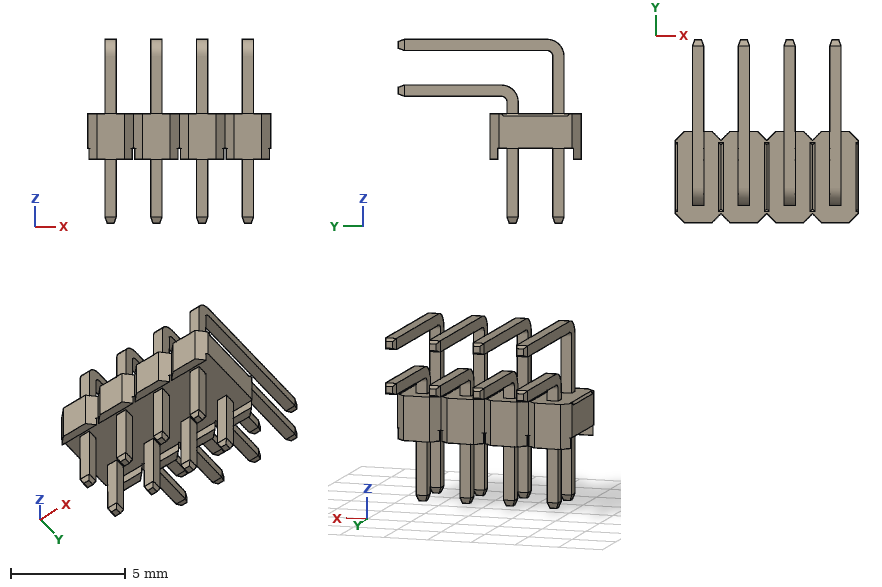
import cadquery as cq

PITCH = 2.0
COLUMNS = 4
ROWS = 2
BODY_HEIGHT = 2.0
CORNER_CHAMFER = 0.4
CHANNEL_WIDTH = 3.3
CHANNEL_DEPTH = 0.48
GROOVE_LENGTH = 3.0
GROOVE_DEPTH = 0.1

PIN_SIZE = 0.5
BEND_INNER_RADIUS = 0.25
TIP_LENGTH = 0.27
TIP_SIZE = 0.3
PIN_BELOW = 2.8
PIN_END_Y = 6.0
FRONT_PIN_RISE = 3.0

BODY_LENGTH = COLUMNS * PITCH
BODY_WIDTH = ROWS * PITCH
BEND_RADIUS = BEND_INNER_RADIUS + PIN_SIZE / 2


def column_x(column):
    return (column - (COLUMNS - 1) / 2) * PITCH


def row_y(row):
    return (row - (ROWS - 1) / 2) * PITCH


def make_cell(x):
    """One housing cell with chamfered vertical corners, standing on Z = 0."""
    cell = cq.Workplane("XY").box(PITCH, BODY_WIDTH, BODY_HEIGHT, centered=(True, True, False))
    return cell.edges("|Z").chamfer(CORNER_CHAMFER).translate((x, 0, 0))


def make_groove(x):
    """V-shaped cutter along Y with sloped ends, centred on the plane X = x."""
    half_length = GROOVE_LENGTH / 2
    cross_profile = (
        cq.Workplane("XZ", origin=(x, half_length, BODY_HEIGHT))
        .moveTo(-GROOVE_DEPTH, 0)
        .lineTo(0, -GROOVE_DEPTH)
        .lineTo(GROOVE_DEPTH, 0)
        .close()
        .extrude(GROOVE_LENGTH)
    )
    side_profile = (
        cq.Workplane("YZ", origin=(x, 0, BODY_HEIGHT))
        .moveTo(-half_length, 0)
        .lineTo(-half_length + GROOVE_DEPTH, -GROOVE_DEPTH)
        .lineTo(half_length - GROOVE_DEPTH, -GROOVE_DEPTH)
        .lineTo(half_length, 0)
        .close()
        .extrude(GROOVE_DEPTH, both=True)
    )
    return cross_profile.intersect(side_profile)


def make_housing():
    housing = make_cell(column_x(0))
    for column in range(1, COLUMNS):
        housing = housing.union(make_cell(column_x(column)))
    channel = cq.Workplane("XY").box(
        BODY_LENGTH, CHANNEL_WIDTH, CHANNEL_DEPTH, centered=(True, True, False)
    )
    housing = housing.cut(channel)
    for boundary in range(COLUMNS + 1):
        housing = housing.cut(make_groove(column_x(boundary) - PITCH / 2))
    return housing


def make_tip(plane):
    """Tapered pin end growing from the given plane along its normal."""
    return (
        cq.Workplane(plane)
        .rect(PIN_SIZE, PIN_SIZE)
        .workplane(offset=TIP_LENGTH)
        .rect(TIP_SIZE, TIP_SIZE)
        .loft(combine=True)
    )


def make_pin(x, row):
    """Square pin: up through the housing, then bent toward +Y."""
    y = row_y(row)
    shaft_bottom = TIP_LENGTH - PIN_BELOW
    shaft_end = PIN_END_Y - TIP_LENGTH
    level = BODY_HEIGHT + FRONT_PIN_RISE - row * PITCH
    path = (
        cq.Workplane("YZ", origin=(x, 0, 0))
        .moveTo(y, shaft_bottom)
        .lineTo(y, level - BEND_RADIUS)
        .radiusArc((y + BEND_RADIUS, level), BEND_RADIUS)
        .lineTo(shaft_end, level)
    )
    shaft = (
        cq.Workplane("XY", origin=(x, y, shaft_bottom))
        .rect(PIN_SIZE, PIN_SIZE)
        .sweep(path)
    )
    lower_tip = make_tip(cq.Plane(origin=(x, y, shaft_bottom), xDir=(1, 0, 0), normal=(0, 0, -1)))
    upper_tip = make_tip(cq.Plane(origin=(x, shaft_end, level), xDir=(1, 0, 0), normal=(0, 1, 0)))
    return shaft.union(lower_tip).union(upper_tip)


result = make_housing()
for column in range(COLUMNS):
    for row in range(ROWS):
        result = result.union(make_pin(column_x(column), row))